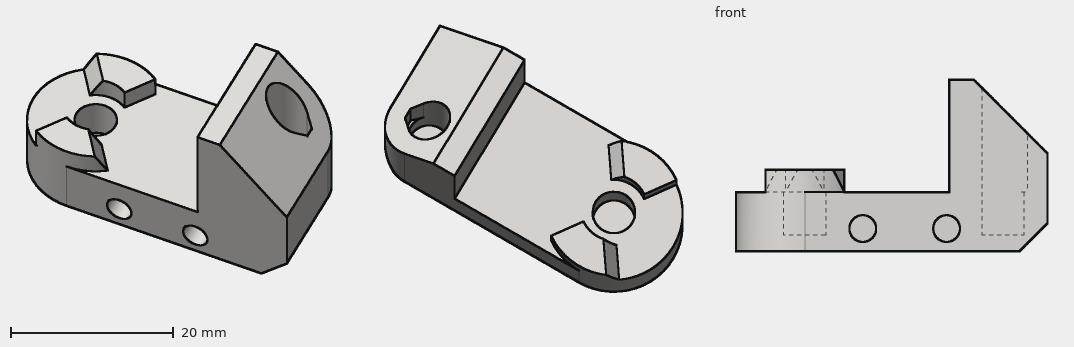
import cadquery as cq
import math

LENGTH = 38.25
WIDTH = 16.9
HEIGHT = 21.1
NOSE_RADIUS = WIDTH / 2
BACK_X = LENGTH - NOSE_RADIUS

PLATE_THICKNESS = 7.27
WALL_DEPTH = 12.1
WALL_FRONT_X = BACK_X - WALL_DEPTH
WALL_TOP_WIDTH = 3.02
BACK_SLOPE = WALL_DEPTH - WALL_TOP_WIDTH
BOTTOM_CHAMFER = 3.45
BACK_CORNER_RADIUS = 4.97

TOOTH_HEIGHT = 2.75
TOOTH_INNER_RADIUS = 4.1
TOOTH_SPAN = 70.0
TOOTH_FLANK_ANGLE = 30.0
TOOTH_DIRECTIONS = (90.0, 270.0)

BORE_DIAMETER = 5.2
BORE_FLOOR_Z = 2.0
BACK_BORE_X = BACK_X - 5.47
BACK_BORE_Y = 3.45
TEARDROP_REACH = 3.02
TEARDROP_FLOOR_Z = PLATE_THICKNESS
SIDE_HOLE_DIAMETER = 3.3
SIDE_HOLE_DEPTH = WIDTH / 2
SIDE_HOLE_Z = 2.8
FIRST_SIDE_HOLE_X = 7.1
SIDE_HOLE_SPACING = 10.3
SIDE_HOLE_COUNT = 2


def make_body():
    """L-shaped side profile trimmed to a plan with a round nose and one round back corner."""
    profile = (
        cq.Workplane("XZ")
        .moveTo(-NOSE_RADIUS, 0)
        .lineTo(BACK_X - BOTTOM_CHAMFER, 0)
        .lineTo(BACK_X, BOTTOM_CHAMFER)
        .lineTo(BACK_X, HEIGHT - BACK_SLOPE)
        .lineTo(BACK_X - BACK_SLOPE, HEIGHT)
        .lineTo(WALL_FRONT_X, HEIGHT)
        .lineTo(WALL_FRONT_X, PLATE_THICKNESS)
        .lineTo(-NOSE_RADIUS, PLATE_THICKNESS)
        .close()
        .extrude(NOSE_RADIUS, both=True)
    )
    plan = (
        cq.Workplane("XY")
        .moveTo(0, -NOSE_RADIUS)
        .lineTo(BACK_X, -NOSE_RADIUS)
        .lineTo(BACK_X, NOSE_RADIUS - BACK_CORNER_RADIUS)
        .radiusArc((BACK_X - BACK_CORNER_RADIUS, NOSE_RADIUS), -BACK_CORNER_RADIUS)
        .lineTo(0, NOSE_RADIUS)
        .threePointArc((-NOSE_RADIUS, 0), (0, -NOSE_RADIUS))
        .close()
        .extrude(HEIGHT)
    )
    return profile.intersect(plan)


def polar(radius, degrees):
    """Point at a radius and angle about the pivot axis."""
    angle = math.radians(degrees)
    return (radius * math.cos(angle), radius * math.sin(angle))


def make_tooth(direction):
    """Ring sector with one radial upright flank and one flank leaning back from its base."""
    start = -TOOTH_SPAN / 2
    end = TOOTH_SPAN / 2
    sector = (
        cq.Workplane("XY")
        .moveTo(*polar(TOOTH_INNER_RADIUS, start))
        .lineTo(*polar(NOSE_RADIUS, start))
        .threePointArc((NOSE_RADIUS, 0), polar(NOSE_RADIUS, end))
        .lineTo(*polar(TOOTH_INNER_RADIUS, end))
        .threePointArc((TOOTH_INNER_RADIUS, 0), polar(TOOTH_INNER_RADIUS, start))
        .close()
        .extrude(TOOTH_HEIGHT)
    )
    flank_run = TOOTH_HEIGHT * math.tan(math.radians(TOOTH_FLANK_ANGLE))
    wedge = (
        cq.Workplane("YZ")
        .polyline([(0, 0), (0, TOOTH_HEIGHT), (-flank_run, TOOTH_HEIGHT)])
        .close()
        .extrude(WIDTH)
        .rotate((0, 0, 0), (0, 0, 1), end)
    )
    return (
        sector.cut(wedge)
        .rotate((0, 0, 0), (0, 0, 1), direction)
        .translate((0, 0, PLATE_THICKNESS))
    )


def make_bore(x, y):
    """Vertical flat-bottomed bore, open upward."""
    return (
        cq.Workplane("XY", origin=(x, y, BORE_FLOOR_Z))
        .circle(BORE_DIAMETER / 2)
        .extrude(HEIGHT)
    )


def make_teardrop_pocket():
    """Upper part of the back bore: 45 degree tangents run toward +X to a flat tip."""
    radius = BORE_DIAMETER / 2
    tangent = radius * math.sqrt(0.5)
    tip_half_width = radius * math.sqrt(2) - TEARDROP_REACH
    return (
        cq.Workplane("XY", origin=(BACK_BORE_X, BACK_BORE_Y, TEARDROP_FLOOR_Z))
        .moveTo(tangent, tangent)
        .threePointArc((-radius, 0), (tangent, -tangent))
        .lineTo(TEARDROP_REACH, -tip_half_width)
        .lineTo(TEARDROP_REACH, tip_half_width)
        .close()
        .extrude(HEIGHT)
    )


def make_side_hole(x):
    """Blind hole entering from the -Y side."""
    return (
        cq.Workplane("XZ", origin=(x, -NOSE_RADIUS, SIDE_HOLE_Z))
        .circle(SIDE_HOLE_DIAMETER / 2)
        .extrude(-SIDE_HOLE_DEPTH)
    )


result = make_body()
for tooth_direction in TOOTH_DIRECTIONS:
    result = result.union(make_tooth(tooth_direction))

result = result.cut(make_bore(0, 0))
result = result.cut(make_bore(BACK_BORE_X, BACK_BORE_Y))
result = result.cut(make_teardrop_pocket())
for hole_index in range(SIDE_HOLE_COUNT):
    result = result.cut(make_side_hole(FIRST_SIDE_HOLE_X + hole_index * SIDE_HOLE_SPACING))